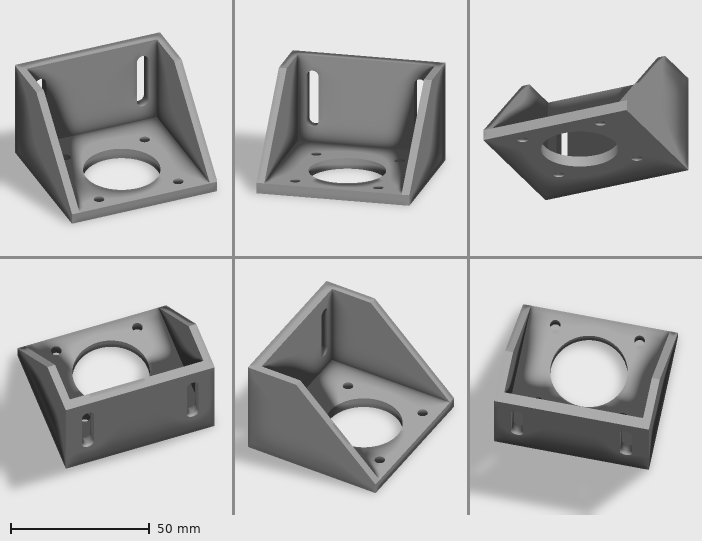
import cadquery as cq

length = 53.1
width = 57.0
height = 37.0

back_wall = 4.05
side_wall = 2.95
floor = 4.0

top_flat = 20.1
nose_height = floor
corner_radius = 0.3

motor_x = 31.9
motor_bore = 28.0
screw_hole = 3.8
screw_spacing = 31.0

slot_spacing = 40.0
slot_width = 4.45
slot_length = 21.3
slot_center_z = 20.6


def make_body():
    """Block with a sloped top, rounded on its outer vertical edges."""
    outline = [
        (0, 0),
        (length, 0),
        (length, nose_height),
        (top_flat, height),
        (0, height),
    ]
    body = cq.Workplane("XZ").polyline(outline).close().extrude(width / 2, both=True)
    return body.edges("|Z").fillet(corner_radius)


def make_cavity():
    """Space between the side walls, open at the top and the front."""
    return cq.Workplane("XY").box(
        length, width - 2 * side_wall, height, centered=(False, True, False)
    ).translate((back_wall, 0, floor))


def make_motor_holes():
    """Central bore and four screw holes through the floor."""
    plane = cq.Workplane("XY").center(motor_x, 0)
    bore = plane.circle(motor_bore / 2).extrude(floor)
    screws = plane.rect(screw_spacing, screw_spacing, forConstruction=True).vertices()
    return bore.union(screws.circle(screw_hole / 2).extrude(floor))


def make_slots():
    """Pair of upright slots through the back wall."""
    return (
        cq.Workplane("YZ")
        .center(0, slot_center_z)
        .pushPoints([(-slot_spacing / 2, 0), (slot_spacing / 2, 0)])
        .slot2D(slot_length, slot_width, 90)
        .extrude(back_wall)
    )


result = make_body().cut(make_cavity()).cut(make_motor_holes()).cut(make_slots())